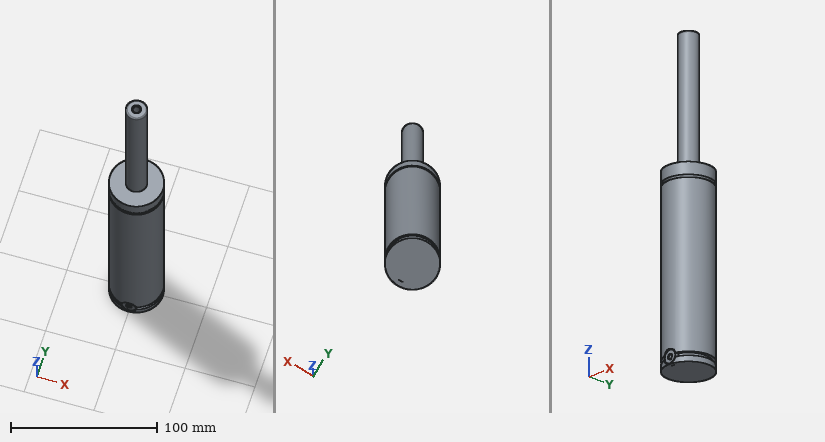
import cadquery as cq
import math

total_height = 250.0
body_height = 148.0
body_diameter = 38.0
rod_diameter = 15.0

cap_height = 9.5
cap_groove_radius = 1.0

base_flange_height = 4.5
base_groove_width = 3.0
base_groove_depth = 2.5

rod_fillet = 1.0

rod_hole_diameter = 5.0
rod_hole_mouth_diameter = 6.4
rod_hole_depth = 12.0
drill_tip_angle = 118.0

valve_height = 6.0
valve_pocket_diameter = 11.0
valve_pocket_floor = 15.0
valve_plug_diameter = 10.0
valve_plug_face = 18.2
valve_hole_diameter = 4.0
valve_hole_depth = 1.0


def disc(diameter, bottom, height):
    """Solid cylinder on the Z axis."""
    return cq.Workplane("XY").workplane(offset=bottom).circle(diameter / 2).extrude(height)


def valve_cylinder(diameter, inner, outer):
    """Solid cylinder along -Y at the valve, between two distances from the body axis."""
    return (
        cq.Workplane("XZ", origin=(0, -inner, valve_height))
        .circle(diameter / 2)
        .extrude(outer - inner)
    )


def make_cap_groove():
    """Ring of round section, centred on the body surface just below the cap."""
    groove_height = body_height - cap_height - cap_groove_radius
    return (
        cq.Workplane("XZ")
        .center(body_diameter / 2, groove_height)
        .circle(cap_groove_radius)
        .revolve(360, (-body_diameter / 2, 0, 0), (-body_diameter / 2, 1, 0))
    )


def make_body():
    """Cylinder body with the retaining groove and the groove under the cap."""
    tube_bottom = base_flange_height + base_groove_width
    flange = disc(body_diameter, 0, base_flange_height)
    neck = disc(body_diameter - 2 * base_groove_depth, base_flange_height, base_groove_width)
    tube = disc(body_diameter, tube_bottom, body_height - tube_bottom)
    return flange.union(neck).union(tube).cut(make_cap_groove())


def make_rod():
    """Piston rod with a rounded end."""
    rod = disc(rod_diameter, body_height, total_height - body_height)
    return rod.faces(">Z").edges().fillet(rod_fillet)


def make_rod_hole():
    """Drilled hole with a countersunk mouth and a conical tip."""
    mouth_depth = (rod_hole_mouth_diameter - rod_hole_diameter) / 2
    radius = rod_hole_diameter / 2
    tip_depth = radius / math.tan(math.radians(drill_tip_angle / 2))
    return (
        cq.Workplane("XZ")
        .moveTo(0, total_height)
        .lineTo(rod_hole_mouth_diameter / 2, total_height)
        .lineTo(radius, total_height - mouth_depth)
        .lineTo(radius, total_height - rod_hole_depth)
        .lineTo(0, total_height - rod_hole_depth - tip_depth)
        .close()
        .revolve(360, (0, 0, 0), (0, 1, 0))
    )


def add_valve(part):
    """Sunk round pocket holding a plug with a shallow central hole."""
    pocket = valve_cylinder(valve_pocket_diameter, valve_pocket_floor, body_diameter / 2)
    plug = valve_cylinder(valve_plug_diameter, valve_pocket_floor, valve_plug_face)
    hole_floor = valve_plug_face - valve_hole_depth
    hole = valve_cylinder(valve_hole_diameter, hole_floor, valve_plug_face)
    return part.cut(pocket).union(plug).cut(hole)


result = add_valve(make_body().union(make_rod()).cut(make_rod_hole()))